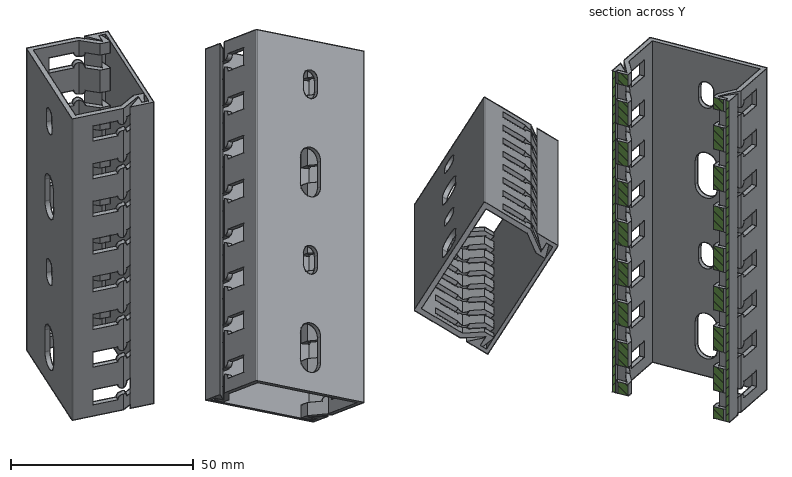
import cadquery as cq

LENGTH = 100.0
WIDTH = 36.5
DEPTH = 23.8
HALF_WIDTH = WIDTH / 2

LID_THICKNESS = 1.1
LID_SKIRT = 6.9
BARB_LEDGE_DROP = 3.1
BARB_REACH = 3.7

WALL = 1.5
CORNER_RADIUS = 0.3
OUTER_FOLD_DROP = 8.8
INNER_FOLD_DROP = 9.0
HOOK_FOLD_DROP = 4.1
HOOK_INSET = 5.0
HOOK_NOTCH_INSET = 4.0
HOOK_TOP_FLAT = 0.3
HOOK_TIP_DROP = 2.3

SLOT_COUNT = 8
SLOT_PITCH = LENGTH / SLOT_COUNT
SLOT_HEIGHT = 5.0
SLOT_BOTTOM_DROP = 17.7
LOBE_RADIUS = 1.5
LOBE_DROP = 9.0

HOLE_PAIRS = 2
HOLE_PITCH = LENGTH / (2 * HOLE_PAIRS)
SMALL_HOLE_LENGTH = 8.1
SMALL_HOLE_WIDTH = 4.7
LARGE_HOLE_LENGTH = 14.1
LARGE_HOLE_WIDTH = 6.8


def section_point(inset, drop):
    """Point of the left half section: inset from the outer side, drop from the lid face."""
    return (inset - HALF_WIDTH, DEPTH - drop)


def extrude_symmetric(left_half):
    """Extrude the left half outline, given from center line to center line, with its mirror image."""
    right_half = [(-x, y) for x, y in reversed(left_half)]
    return cq.Workplane("XY").polyline(left_half + right_half).close().extrude(LENGTH)


def make_lid():
    return extrude_symmetric([
        section_point(0, 0),
        section_point(0, LID_SKIRT),
        section_point(BARB_REACH, BARB_LEDGE_DROP),
        section_point(LID_THICKNESS, BARB_LEDGE_DROP),
        section_point(LID_THICKNESS, LID_THICKNESS),
    ])


def make_duct_profile():
    profile = extrude_symmetric([
        section_point(WALL, DEPTH - WALL),
        section_point(WALL, INNER_FOLD_DROP),
        section_point(HOOK_INSET, HOOK_FOLD_DROP),
        section_point(HOOK_INSET, LID_THICKNESS),
        section_point(HOOK_INSET - HOOK_TOP_FLAT, LID_THICKNESS),
        section_point(LID_THICKNESS, HOOK_TIP_DROP),
        section_point(LID_THICKNESS, BARB_LEDGE_DROP),
        section_point(HOOK_NOTCH_INSET, BARB_LEDGE_DROP),
        section_point(0, OUTER_FOLD_DROP),
        section_point(0, DEPTH),
    ])
    outer_floor_corners = profile.faces("<Y").edges("|Z")
    return outer_floor_corners.fillet(CORNER_RADIUS)


def make_wire_slot(center_z):
    """Cutter across both side walls, narrowed by a half-round lobe on each long edge."""
    slot_bottom = DEPTH - SLOT_BOTTOM_DROP
    lobe_y = DEPTH - LOBE_DROP
    lower_z = center_z - SLOT_HEIGHT / 2
    upper_z = center_z + SLOT_HEIGHT / 2
    return (
        cq.Workplane("YZ")
        .moveTo(slot_bottom, lower_z)
        .lineTo(lobe_y - LOBE_RADIUS, lower_z)
        .threePointArc((lobe_y, lower_z + LOBE_RADIUS), (lobe_y + LOBE_RADIUS, lower_z))
        .lineTo(DEPTH, lower_z)
        .lineTo(DEPTH, upper_z)
        .lineTo(lobe_y + LOBE_RADIUS, upper_z)
        .threePointArc((lobe_y, upper_z - LOBE_RADIUS), (lobe_y - LOBE_RADIUS, upper_z))
        .lineTo(slot_bottom, upper_z)
        .close()
        .extrude(HALF_WIDTH, both=True)
    )


def make_floor_hole(center_z, length, width):
    """Upright oblong cutter through the floor."""
    return (
        cq.Workplane("XZ")
        .center(0, center_z)
        .slot2D(length, width, 90)
        .extrude(-WALL)
    )


def make_duct():
    duct = make_duct_profile()
    for i in range(SLOT_COUNT):
        duct = duct.cut(make_wire_slot((i + 0.5) * SLOT_PITCH))
    for pair in range(HOLE_PAIRS):
        large_z = (2 * pair + 0.5) * HOLE_PITCH
        small_z = large_z + HOLE_PITCH
        duct = duct.cut(make_floor_hole(large_z, LARGE_HOLE_LENGTH, LARGE_HOLE_WIDTH))
        duct = duct.cut(make_floor_hole(small_z, SMALL_HOLE_LENGTH, SMALL_HOLE_WIDTH))
    return duct


lid = make_lid()
duct = make_duct()

result = cq.Compound.makeCompound([lid.val(), duct.val()])